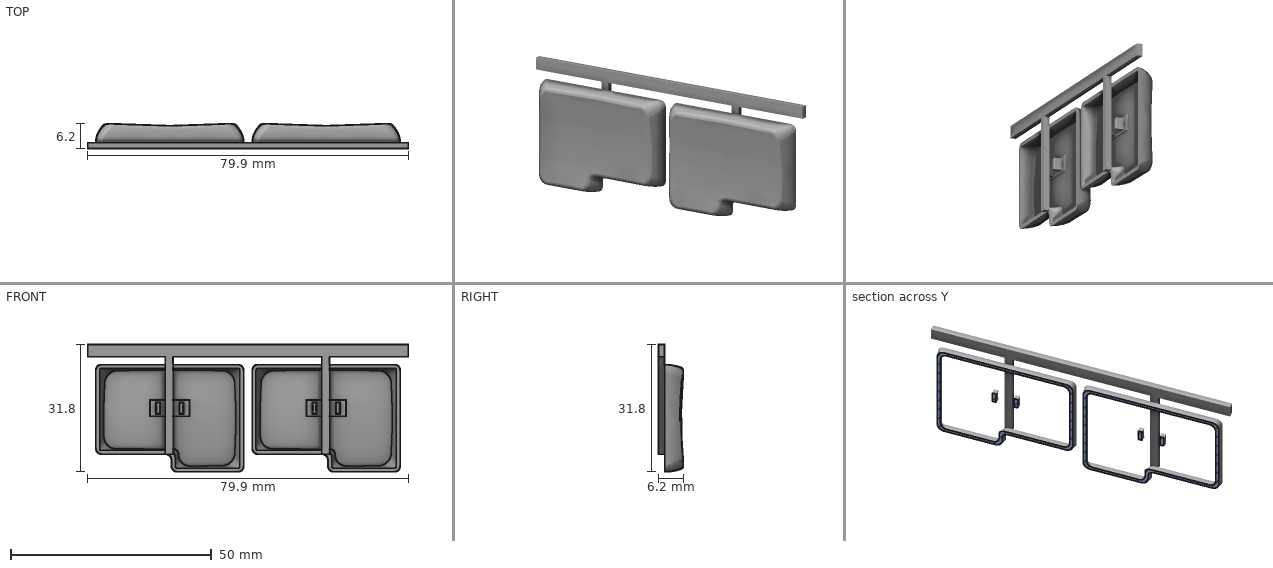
import cadquery as cq
import math

rail_length = 79.9
rail_height = 3.1
frame_depth = 1.5
arm_width = 2.0
arm_offset = -0.15

key_pitch = 39.0
key_count = 2
key_width = 36.9
part_height = 31.8
key_top = -5.0
step_bottom = -27.4
lobe_bottom = -part_height
step_x = 0.4
wall = 0.95

key_depth = 4.7
rim_radius = 1.5
crown_radius = 2.9
notch_rim_radius = 1.4
notch_crown_radius = 1.2
cavity_rim_radius = 0.5
cavity_crown_radius = 3.8
cavity_notch_rim_radius = 1.75
cavity_notch_crown_radius = 0.95

side_inset = 2.3
end_inset = 0.95
section_count = 4
body_loft_depth = 5.3
cavity_loft_depth = 3.8

dish_radius_x = 199.8
dish_radius_z = 99.9
dish_half_height = 20.0
dish_z = -18.4
crown_centre = 3.5
floor_centre = 2.5
top_fillet = 1.0

stem_z = -15.9
pad_length = 9.75
pad_height = 4.0
pad_face = 2.3
pad_root = 0.3
pad_draft = 20.0
prong_spacing = 5.8
prong_width = 1.2
prong_height = 2.95
prong_length = 2.2
prong_chamfer = 0.15
prong_waist = 0.1

key_centres = [rail_length / 2 + (i - (key_count - 1) / 2) * key_pitch for i in range(key_count)]


def rounded_outline(points, radii, depth):
    """Closed wire at Y = depth through (X, Z) points with square corners, each rounded by its radius."""
    path = cq.Workplane("XZ", origin=(0, depth, 0))
    for i, (x, z) in enumerate(points):
        radius = radii[i]
        before_x, before_z = points[i - 1]
        after_x, after_z = points[(i + 1) % len(points)]
        before = cq.Vector(before_x - x, before_z - z).normalized()
        after = cq.Vector(after_x - x, after_z - z).normalized()
        corner = cq.Vector(x, z)
        start = corner + before * radius
        middle = corner + (before + after) * radius * (1 - math.sqrt(0.5))
        end = corner + after * radius
        path = path.moveTo(start.x, start.y) if i == 0 else path.lineTo(start.x, start.y)
        path = path.threePointArc((middle.x, middle.y), (end.x, end.y))
    return path.close().val()


def key_loft(loft_depth, offset, corner_radii, notch_radii):
    """Solid with curved sides; radii are pairs of (rim, full depth) values."""
    sections = []
    for i in range(section_count):
        depth = loft_depth * i / (section_count - 1)
        share = depth / key_depth
        dx = offset + side_inset * share**2
        dz = offset + end_inset * share**2
        left = -key_width / 2 + dx
        right = key_width / 2 - dx
        points = [
            (left, key_top - dz),
            (right, key_top - dz),
            (right, lobe_bottom + dz),
            (step_x + dx, lobe_bottom + dz),
            (step_x + dx, step_bottom + dz),
            (left, step_bottom + dz),
        ]
        corner = corner_radii[0] + (corner_radii[1] - corner_radii[0]) * share
        notch = notch_radii[0] + (notch_radii[1] - notch_radii[0]) * share
        sections.append(rounded_outline(points, [corner] * 4 + [notch, corner], depth))
    return cq.Workplane(cq.Solid.makeLoft(sections))


def dish(lowest):
    """Barrel-shaped body, curved along X and Z, that touches Y = lowest on the keycap axis."""
    rise = dish_radius_z - math.sqrt(dish_radius_z**2 - dish_half_height**2)
    return (
        cq.Workplane("YZ", origin=(0, lowest, dish_z))
        .moveTo(dish_radius_x, -dish_half_height)
        .lineTo(rise, -dish_half_height)
        .threePointArc((0, 0), (rise, dish_half_height))
        .lineTo(dish_radius_x, dish_half_height)
        .close()
        .revolve(360, (dish_radius_x, 0, 0), (dish_radius_x, 1, 0))
    )


def cap_shell():
    """Hollow keycap, open at Y = 0 and centred on X = 0."""
    corner_radii = (rim_radius, crown_radius)
    notch_radii = (notch_rim_radius, notch_crown_radius)
    body = key_loft(body_loft_depth, 0, corner_radii, notch_radii)
    body = body.cut(dish(crown_centre))
    body = body.faces(">Y").edges().fillet(top_fillet)
    corner_radii = (cavity_rim_radius, cavity_crown_radius)
    notch_radii = (cavity_notch_rim_radius, cavity_notch_crown_radius)
    cavity = key_loft(cavity_loft_depth, wall, corner_radii, notch_radii)
    cavity = cavity.cut(dish(floor_centre))
    return body.cut(cavity)


def stem():
    """Pad with two prongs that have hollowed long sides."""
    pad_back = floor_centre + pad_root
    pad = (
        cq.Workplane("XZ", origin=(0, pad_face, stem_z))
        .rect(pad_length, pad_height)
        .extrude(pad_face - pad_back, taper=-pad_draft)
    )
    half_width = prong_width / 2
    half_height = prong_height / 2
    waist = half_width - prong_waist
    for side in (-1, 1):
        x = side * prong_spacing / 2
        prong = (
            cq.Workplane("XZ", origin=(x, pad_face, stem_z))
            .moveTo(-half_width, -half_height)
            .lineTo(half_width, -half_height)
            .threePointArc((waist, 0), (half_width, half_height))
            .lineTo(-half_width, half_height)
            .threePointArc((-waist, 0), (-half_width, -half_height))
            .close()
            .extrude(prong_length)
            .faces("<Y")
            .chamfer(prong_chamfer)
        )
        pad = pad.union(prong)
    return pad


def frame_bar(x_min, x_max, z_min, z_max):
    """Straight bar of the frame, as deep as the frame."""
    size = (x_max - x_min, frame_depth, z_max - z_min)
    return cq.Workplane().box(*size, centered=False).translate((x_min, -frame_depth, z_min))


keycap = cap_shell().union(stem())
result = frame_bar(0, rail_length, -rail_height, 0)
for x in key_centres:
    arm_x = x + arm_offset
    arm = frame_bar(arm_x - arm_width / 2, arm_x + arm_width / 2, step_bottom, -rail_height)
    result = result.union(arm)
    result = result.union(keycap.translate((x, 0, 0)))